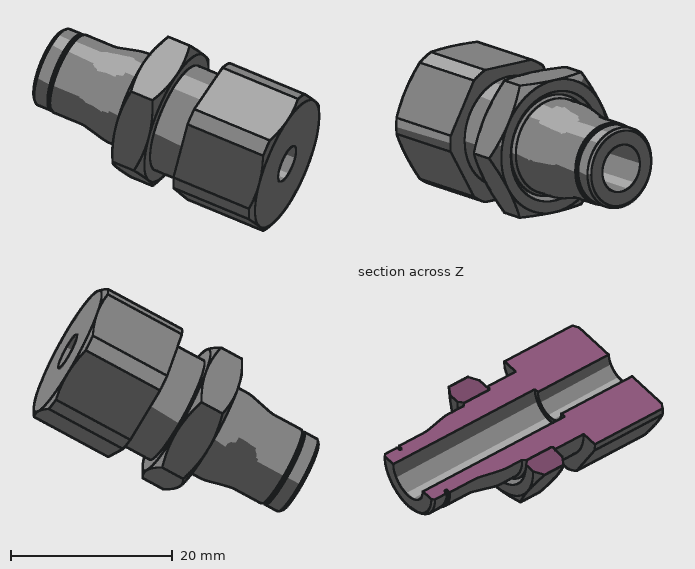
import cadquery as cq
import math

TOTAL_LENGTH = 33.0
GROOVE_START = 2.15
GROOVE_END = 2.6
FLARE_START = 6.37
FLARE_END = 10.82
NUT_START = 13.0
NUT_END = 17.52
HEX_START = 21.98

TIP_RADIUS = 5.1
TIP_CHAMFER = 0.33
GROOVE_RADIUS = 4.6
GROOVE_EDGE_CHAMFER = 0.1
SPIGOT_RADIUS = 5.2
NECK_RADIUS = 6.05
COLLAR_RADIUS = 7.0

FLARE_BLEND_LENGTH = 0.9
FLARE_ANGLE = math.atan(
    (NECK_RADIUS - SPIGOT_RADIUS) / (FLARE_END - FLARE_START - FLARE_BLEND_LENGTH)
)
FLARE_BLEND_RISE = FLARE_BLEND_LENGTH * math.tan(FLARE_ANGLE / 2)

ACROSS_FLATS = 17.0
HEX_CORNER_RADIUS = 9.27
HEX_CHAMFER_ANGLE = 30.0

SEAT_RADIUS = 6.45
SEAT_CHAMFER = SEAT_RADIUS - NECK_RADIUS
SEAT_COUNTERSINK = COLLAR_RADIUS - SEAT_RADIUS
SEAT_START = NUT_START + SEAT_COUNTERSINK

INLET_RADIUS = 3.0
INLET_DEPTH = HEX_START
PASSAGE_RADIUS = 2.38


def revolve_about_x(profile):
    """Close an (x, radius) profile and turn it about the X axis."""
    return profile.close().revolve(360, (0, 0, 0), (1, 0, 0))


def cylinder_on_x(radius, start, end):
    return cq.Workplane("YZ", origin=(start, 0, 0)).circle(radius).extrude(end - start)


def hexagon_on_x(start, end):
    """Hexagonal bar with two flats square to Z and corners on Y."""
    across_corners = ACROSS_FLATS / math.cos(math.radians(30))
    return cq.Workplane("YZ", origin=(start, 0, 0)).polygon(6, across_corners).extrude(end - start)


def corner_envelope(start, end, radius, chamfer_start):
    """Turned blank whose conical ends trim hexagon corners down to the flats."""
    flat_radius = ACROSS_FLATS / 2
    setback = (radius - flat_radius) * math.tan(math.radians(HEX_CHAMFER_ANGLE))
    profile = cq.Workplane("XY").moveTo(start, 0)
    if chamfer_start:
        profile = profile.lineTo(start, flat_radius).lineTo(start + setback, radius)
    else:
        profile = profile.lineTo(start, radius)
    profile = profile.lineTo(end - setback, radius).lineTo(end, flat_radius).lineTo(end, 0)
    return revolve_about_x(profile)


def make_turned_body():
    """Spigot, groove, flare, neck, nut seat and collar, ending at the hexagon."""
    profile = (
        cq.Workplane("XY")
        .lineTo(0, TIP_RADIUS - TIP_CHAMFER)
        .lineTo(TIP_CHAMFER, TIP_RADIUS)
        .lineTo(GROOVE_START, TIP_RADIUS)
        .lineTo(GROOVE_START + GROOVE_EDGE_CHAMFER, TIP_RADIUS - GROOVE_EDGE_CHAMFER)
        .lineTo(GROOVE_START + GROOVE_EDGE_CHAMFER, GROOVE_RADIUS)
        .lineTo(GROOVE_END - GROOVE_EDGE_CHAMFER, GROOVE_RADIUS)
        .lineTo(GROOVE_END - GROOVE_EDGE_CHAMFER, SPIGOT_RADIUS - GROOVE_EDGE_CHAMFER)
        .lineTo(GROOVE_END, SPIGOT_RADIUS)
        .lineTo(FLARE_START, SPIGOT_RADIUS)
        .tangentArcPoint((FLARE_BLEND_LENGTH, FLARE_BLEND_RISE))
        .lineTo(FLARE_END - FLARE_BLEND_LENGTH, NECK_RADIUS - FLARE_BLEND_RISE)
        .tangentArcPoint((FLARE_BLEND_LENGTH, FLARE_BLEND_RISE))
        .lineTo(SEAT_START - SEAT_CHAMFER, NECK_RADIUS)
        .lineTo(SEAT_START, SEAT_RADIUS)
        .lineTo(NUT_END, SEAT_RADIUS)
        .lineTo(NUT_END, COLLAR_RADIUS)
        .lineTo(HEX_START, COLLAR_RADIUS)
        .lineTo(HEX_START, 0)
    )
    return revolve_about_x(profile)


def make_body():
    envelope = corner_envelope(HEX_START, TOTAL_LENGTH, HEX_CORNER_RADIUS, chamfer_start=False)
    hex_end = hexagon_on_x(HEX_START, TOTAL_LENGTH).intersect(envelope)
    inlet = cylinder_on_x(INLET_RADIUS, 0, INLET_DEPTH)
    passage = cylinder_on_x(PASSAGE_RADIUS, 0, TOTAL_LENGTH)
    return make_turned_body().union(hex_end).cut(inlet).cut(passage)


def make_nut():
    """Lock nut with both ends chamfered and a countersink facing the spigot."""
    corner_radius = ACROSS_FLATS / 2 / math.cos(math.radians(30))
    envelope = corner_envelope(NUT_START, NUT_END, corner_radius, chamfer_start=True)
    bore = revolve_about_x(
        cq.Workplane("XY")
        .moveTo(NUT_START, 0)
        .lineTo(NUT_START, COLLAR_RADIUS)
        .lineTo(SEAT_START, SEAT_RADIUS)
        .lineTo(NUT_END, SEAT_RADIUS)
        .lineTo(NUT_END, 0)
    )
    return hexagon_on_x(NUT_START, NUT_END).intersect(envelope).cut(bore)


body = make_body()
lock_nut = make_nut()

result = cq.Compound.makeCompound([body.val(), lock_nut.val()])